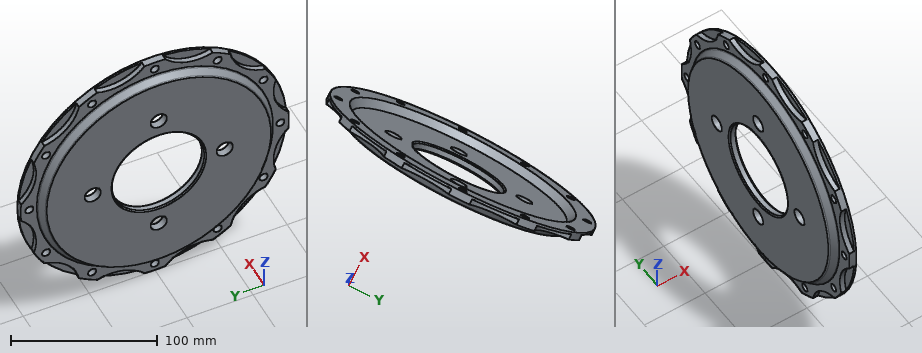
import cadquery as cq

outer_radius = 101.6
total_thickness = 12.0
flange_thickness = 5.9
back_face = total_thickness / 2
front_face = -back_face
flange_face = back_face - flange_thickness

hub_face_radius = 85.0
hub_shoulder_radius = 85.8
hub_shoulder_depth = 1.0
hub_cone_end_radius = 89.0
hub_cone_end_height = 0.6
hub_foot_radius = 89.6

hub_plate_thickness = 6.0
recess_floor = front_face + hub_plate_thickness
recess_floor_radius = 82.5
recess_mouth_radius = 86.5

bore_radius = 35.0
bore_chamfer = 1.0

mount_count = 4
mount_circle_radius = 50.0
mount_diameter = 12.2

rim_count = 12
rim_circle_radius = 95.1
rim_hole_diameter = 6.0
pocket_depth = 4.0
pocket_inner_radius = 94.3
pocket_arc_radius = 33.5


def make_disc():
    """Revolve the (axial, radial) half section about the X axis."""
    return (
        cq.Workplane("XY")
        .moveTo(front_face + bore_chamfer, bore_radius)
        .lineTo(front_face, bore_radius + bore_chamfer)
        .lineTo(front_face, hub_face_radius)
        .lineTo(front_face + hub_shoulder_depth, hub_shoulder_radius)
        .lineTo(flange_face - hub_cone_end_height, hub_cone_end_radius)
        .lineTo(flange_face, hub_foot_radius)
        .lineTo(flange_face, outer_radius)
        .lineTo(back_face, outer_radius)
        .lineTo(back_face, recess_mouth_radius)
        .lineTo(recess_floor, recess_floor_radius)
        .lineTo(recess_floor, bore_radius + bore_chamfer)
        .lineTo(recess_floor - bore_chamfer, bore_radius)
        .close()
        .revolve(360, (0, 0, 0), (1, 0, 0))
    )


def make_cylinders(count, circle_radius, radius, length, start_angle=0.0):
    """Ring of cylinders running from the front face towards +X."""
    return (
        cq.Workplane("YZ", origin=(front_face, 0, 0))
        .polarArray(circle_radius, start_angle, 360, count)
        .circle(radius)
        .extrude(length)
    )


mount_holes = make_cylinders(mount_count, mount_circle_radius, mount_diameter / 2, total_thickness)
rim_holes = make_cylinders(rim_count, rim_circle_radius, rim_hole_diameter / 2, total_thickness)

pockets = make_cylinders(
    rim_count,
    pocket_inner_radius + pocket_arc_radius,
    pocket_arc_radius,
    flange_face + pocket_depth - front_face,
    start_angle=180 / rim_count,
)

result = make_disc().cut(mount_holes).cut(rim_holes).cut(pockets)